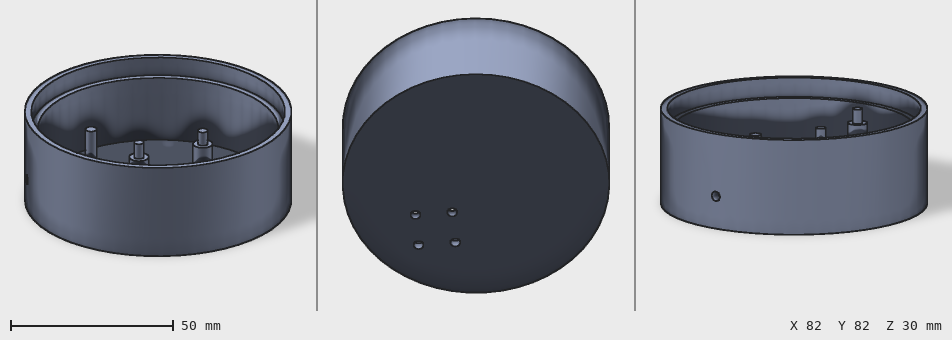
import cadquery as cq

outer_radius = 41.0
height = 30.0
floor_thickness = 3.0
cavity_radius = 37.0
rim_radius = 39.0
rim_depth = 6.0

post_radius = 3.0
pin_radius = 1.5
posts = [
    (17.1, 9.4, 25.5, 30.0),
    (15.8, -10.6, 23.0, 28.0),
]

peg_x = -1.4
peg_y = -21.0
peg_radius = 1.75
peg_top = 26.0
floor_hole_radius = 1.5
floor_hole_offset = 8.0
floor_hole_count = 4

wall_hole_x = -3.9
wall_hole_z = 10.3
wall_hole_radius = 1.5


def cylinder(x, y, radius, bottom, top):
    """Upright cylinder centred on (x, y) between two heights."""
    return cq.Workplane("XY", origin=(x, y, bottom)).circle(radius).extrude(top - bottom)


def make_cup():
    body = cylinder(0, 0, outer_radius, 0, height)
    cavity = cylinder(0, 0, cavity_radius, floor_thickness, height)
    rim_recess = cylinder(0, 0, rim_radius, height - rim_depth, height)
    return body.cut(cavity).cut(rim_recess)


def make_post(x, y, shoulder, tip):
    return cylinder(x, y, post_radius, 0, shoulder).union(cylinder(x, y, pin_radius, 0, tip))


def make_floor_holes():
    return (
        cq.Workplane("XY", origin=(peg_x, peg_y, 0))
        .polarArray(floor_hole_offset, 0, 360, floor_hole_count)
        .circle(floor_hole_radius)
        .extrude(floor_thickness)
    )


def make_wall_hole():
    end_y = peg_y - peg_radius
    return (
        cq.Workplane("XZ", origin=(wall_hole_x, end_y, wall_hole_z))
        .circle(wall_hole_radius)
        .extrude(outer_radius + end_y)
    )


result = make_cup()
for post in posts:
    result = result.union(make_post(*post))
result = result.union(cylinder(peg_x, peg_y, peg_radius, 0, peg_top))
result = result.cut(make_floor_holes()).cut(make_wall_hole())